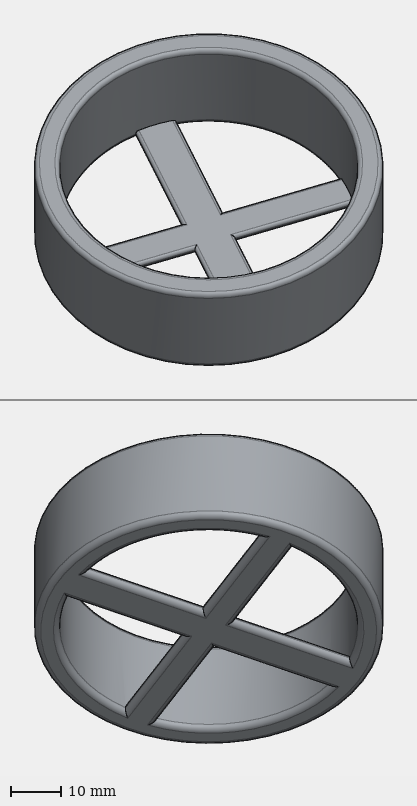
import cadquery as cq

outer_diameter = 69.0
inner_diameter = 59.0
height = 22.0
rim_fillet = 1.0
base_fillet = 1.25

arm_width_along_x = 8.55
arm_width_along_y = 6.9
cross_thickness = 2.0
arm_edge_fillet = 0.7


def make_cylinder(diameter, bottom, top):
    """Vertical cylinder on the ring axis between two heights."""
    return cq.Workplane("XY").workplane(offset=bottom).circle(diameter / 2).extrude(top - bottom)


def make_cross(thickness):
    """Flat sharp-edged cross standing on Z = 0, with arms as long as the ring is wide."""
    arm_x = cq.Workplane("XY").rect(outer_diameter, arm_width_along_x).extrude(thickness)
    arm_y = cq.Workplane("XY").rect(arm_width_along_y, outer_diameter).extrude(thickness)
    return arm_x.union(arm_y)


def make_body():
    """Cylinder with four quadrant openings, rounded underneath along every edge."""
    openings = make_cylinder(inner_diameter, 0, height).cut(make_cross(height))
    body = make_cylinder(outer_diameter, 0, height).cut(openings)
    return body.faces("<Z").edges().fillet(base_fillet)


def make_bore():
    """Space inside the ring above the cross, shaped to round the upper edges of the arms."""
    cross = make_cross(cross_thickness).faces(">Z").edges().fillet(arm_edge_fillet)
    return make_cylinder(inner_diameter, cross_thickness - arm_edge_fillet, height).cut(cross)


result = make_body().cut(make_bore())
result = result.faces(">Z").edges().fillet(rim_fillet)